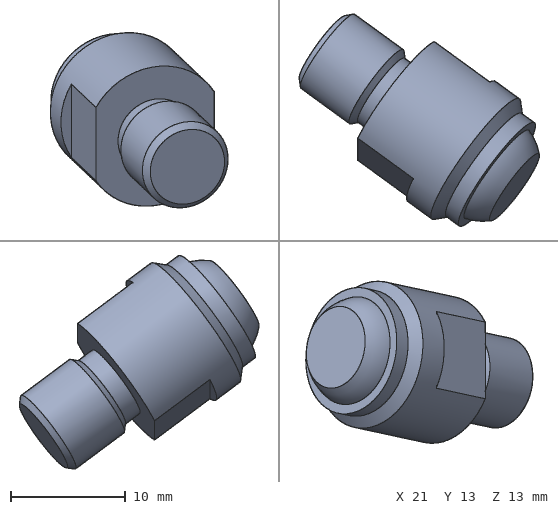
import cadquery as cq
import math

LENGTH = 21.0

BALL_RADIUS = 5.0
BALL_FLAT_RADIUS = 3.61
BALL_CENTER_X = math.sqrt(BALL_RADIUS**2 - BALL_FLAT_RADIUS**2)

COLLAR_START_X = 1.93
COLLAR_LENGTH = 1.4
COLLAR_RADIUS = 5.59
HEAD_RADIUS = 6.5
HEAD_END_X = 13.0
HEAD_CHAMFER = HEAD_RADIUS - COLLAR_RADIUS

FLAT_LENGTH = 6.1
FLAT_WIDTH = 11.05

NECK_RADIUS = 3.46
NECK_LENGTH = 1.6
STUD_RADIUS = 4.0
STUD_CHAMFER = STUD_RADIUS - NECK_RADIUS


def make_ball():
    """Ball with a flat contact face at X = 0."""
    return (
        cq.Workplane("XY")
        .lineTo(0, BALL_FLAT_RADIUS)
        .threePointArc((BALL_CENTER_X, BALL_RADIUS), (BALL_CENTER_X + BALL_RADIUS, 0))
        .close()
        .revolve(360, (0, 0, 0), (1, 0, 0))
    )


def make_turned_blank():
    """Collar, chamfered head, neck and stud revolved about X."""
    collar_end_x = COLLAR_START_X + COLLAR_LENGTH
    stud_start_x = HEAD_END_X + NECK_LENGTH
    profile = [
        (COLLAR_START_X, 0),
        (COLLAR_START_X, COLLAR_RADIUS),
        (collar_end_x, COLLAR_RADIUS),
        (collar_end_x + HEAD_CHAMFER, HEAD_RADIUS),
        (HEAD_END_X, HEAD_RADIUS),
        (HEAD_END_X, NECK_RADIUS),
        (stud_start_x, NECK_RADIUS),
        (stud_start_x + STUD_CHAMFER, STUD_RADIUS),
        (LENGTH - STUD_CHAMFER, STUD_RADIUS),
        (LENGTH, NECK_RADIUS),
        (LENGTH, 0),
    ]
    return cq.Workplane("XY").polyline(profile).close().revolve(360, (0, 0, 0), (1, 0, 0))


def cut_wrench_flats(blank):
    """Cut two parallel flats, facing -Y and +Y, at the rear of the head."""
    depth = HEAD_RADIUS - FLAT_WIDTH / 2
    for side in (-1, 1):
        cutter = (
            cq.Workplane("XY")
            .box(FLAT_LENGTH, depth, 2 * HEAD_RADIUS)
            .translate((HEAD_END_X - FLAT_LENGTH / 2, side * (FLAT_WIDTH + depth) / 2, 0))
        )
        blank = blank.cut(cutter)
    return blank


ball = make_ball()
screw = cut_wrench_flats(make_turned_blank()).cut(ball)

result = cq.Compound.makeCompound([*screw.solids().vals(), *ball.solids().vals()])